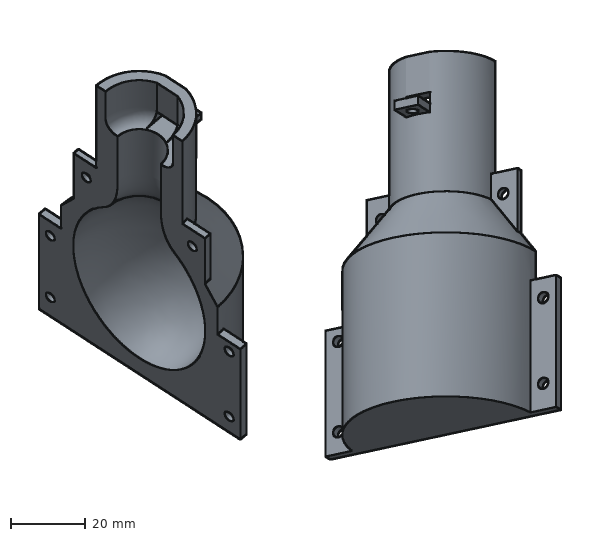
import cadquery as cq
import math

total_height = 105.2
body_radius = 28.0
body_height = 47.6
neck_radius = 15.4
neck_start = 64.5

egg_radius = 23.6
egg_half_height = 28.0
egg_bottom = 6.5
egg_top = 58.2
bore_radius = 7.7
bore_start = 72.0
socket_radius = 12.0
socket_floor = 90.3
socket_fillet = 3.8

strip_width = 7.4
window_height = 3.3
lug_thickness = 2.6
lug_reach = 21.3
lug_hole_y = 18.0

base_left = -35.9
base_right = 36.1
base_left_height = 38.3
base_right_height = 36.5
base_thickness = 2.6
ear_reach = 23.5
ear_bottom = 53.7
ear_left_thickness = 2.0
ear_right_thickness = 2.2

hole_diameter = 3.2
screw_holes = [
    (-18.9, 65.5),
    (18.9, 65.5),
    (-31.8, 32.5),
    (-31.8, 7.7),
    (32.1, 32.6),
    (32.1, 6.4),
]


def block(x_min, x_max, y_min, y_max, z_min, z_max):
    """Box given by its limits along each axis."""
    size = (x_max - x_min, y_max - y_min, z_max - z_min)
    return cq.Workplane("XY").box(*size, centered=False).translate((x_min, y_min, z_min))


def chord_distance(radius):
    """Distance from the axis to a chord as wide as the flat strip."""
    return math.sqrt(radius**2 - (strip_width / 2) ** 2)


def outer_body():
    """Cylindrical base, cone and neck, turned about Z."""
    profile = (
        cq.Workplane("XZ")
        .lineTo(body_radius, 0)
        .lineTo(body_radius, body_height)
        .lineTo(neck_radius, neck_start)
        .lineTo(neck_radius, total_height)
        .lineTo(0, total_height)
        .close()
    )
    return profile.revolve(360, (0, 0), (0, 1))


def flanges():
    """Base plate with unequal shoulders and one ear on each side of the neck."""
    base = block(base_left, 0, 0, base_thickness, 0, base_left_height)
    base = base.union(block(0, base_right, 0, base_thickness, 0, base_right_height))
    left_ear = block(-ear_reach, 0, 0, ear_left_thickness, ear_bottom, bore_start)
    right_ear = block(0, ear_reach, 0, ear_right_thickness, ear_bottom, bore_start)
    return base.union(left_ear).union(right_ear)


def cavity():
    """Egg chamber blending into the bore and the round-bottomed socket."""
    egg_middle = egg_bottom + egg_half_height
    rise = (egg_top - egg_middle) / egg_half_height
    cosine = math.sqrt(1 - rise**2)
    egg_end = (egg_radius * cosine, egg_top)
    egg_tangent = (-egg_radius * rise, egg_half_height * cosine)
    end_angle = math.degrees(math.asin(rise))
    fillet_inset = socket_fillet * (1 - math.sqrt(0.5))
    profile = (
        cq.Workplane("XZ")
        .moveTo(0, egg_middle)
        .ellipseArc(egg_radius, egg_half_height, -90, end_angle, startAtCurrent=False)
        .spline([(bore_radius, bore_start)], tangents=[egg_tangent, (0, 1)], includeCurrent=True)
        .lineTo(bore_radius, socket_floor)
        .lineTo(socket_radius - socket_fillet, socket_floor)
        .threePointArc(
            (socket_radius - fillet_inset, socket_floor + fillet_inset),
            (socket_radius, socket_floor + socket_fillet),
        )
        .lineTo(socket_radius, total_height)
        .lineTo(0, total_height)
        .close()
    )
    return profile.revolve(360, (0, 0), (0, 1))


def strip_block(y_min, y_max, z_min, z_max):
    """Block as wide as the flat strip, centred on the axis."""
    return block(-strip_width / 2, strip_width / 2, y_min, y_max, z_min, z_max)


def lug():
    """Drilled tab behind the neck, level with the socket floor."""
    bottom = socket_floor - lug_thickness
    tab = strip_block(chord_distance(neck_radius), lug_reach, bottom, socket_floor)
    drill = cq.Workplane("XY").circle(hole_diameter / 2).extrude(total_height)
    return tab.cut(drill.translate((0, lug_hole_y, 0)))


def screw_drills():
    drills = cq.Workplane("XZ").pushPoints(screw_holes).circle(hole_diameter / 2)
    return drills.extrude(-body_radius)


back_half = block(base_left, base_right, 0, body_radius, 0, total_height)
inner_flat = chord_distance(socket_radius)
outer_flat = chord_distance(neck_radius)

result = outer_body().intersect(back_half).union(flanges())
result = result.cut(cavity())

result = result.union(strip_block(inner_flat, outer_flat, socket_floor, total_height))
result = result.cut(strip_block(outer_flat, neck_radius, socket_floor, total_height))

result = result.cut(strip_block(0, neck_radius, socket_floor, socket_floor + window_height))

result = result.cut(strip_block(0, inner_flat, socket_floor, total_height))

result = result.cut(screw_drills()).union(lug())